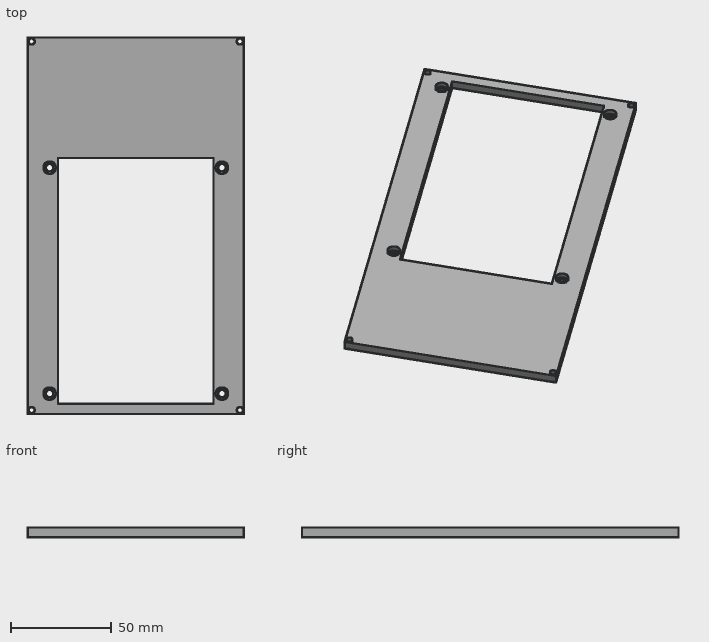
import cadquery as cq

plate_width = 108.0
plate_length = 188.0
plate_thickness = 5.0

window_width = 77.5
window_length = 122.5
window_front_margin = 5.25
window_center_y = -plate_length / 2 + window_front_margin + window_length / 2

corner_hole_diameter = 3.0
corner_hole_margin = 2.0
corner_spacing_x = plate_width - 2 * corner_hole_margin
corner_spacing_y = plate_length - 2 * corner_hole_margin

screw_hole_diameter = 3.75
counterbore_diameter = 6.25
counterbore_depth = 3.0
screw_spacing_x = 86.0
screw_spacing_y = 112.75
screw_front_margin = 10.25
screw_center_y = -plate_length / 2 + screw_front_margin + screw_spacing_y / 2


def make_plate():
    return cq.Workplane("XY").box(
        plate_width, plate_length, plate_thickness, centered=(True, True, False)
    )


def cut_window(body):
    window = (
        cq.Workplane("XY")
        .center(0, window_center_y)
        .rect(window_width, window_length)
        .extrude(plate_thickness)
    )
    return body.cut(window)


def drill_corner_holes(body):
    return (
        body.faces(">Z")
        .workplane(origin=(0, 0, plate_thickness))
        .rect(corner_spacing_x, corner_spacing_y, forConstruction=True)
        .vertices()
        .hole(corner_hole_diameter)
    )


def drill_screw_holes(body):
    return (
        body.faces(">Z")
        .workplane(origin=(0, screw_center_y, plate_thickness))
        .rect(screw_spacing_x, screw_spacing_y, forConstruction=True)
        .vertices()
        .cboreHole(screw_hole_diameter, counterbore_diameter, counterbore_depth)
    )


plate = make_plate()
plate = cut_window(plate)
plate = drill_corner_holes(plate)
result = drill_screw_holes(plate)